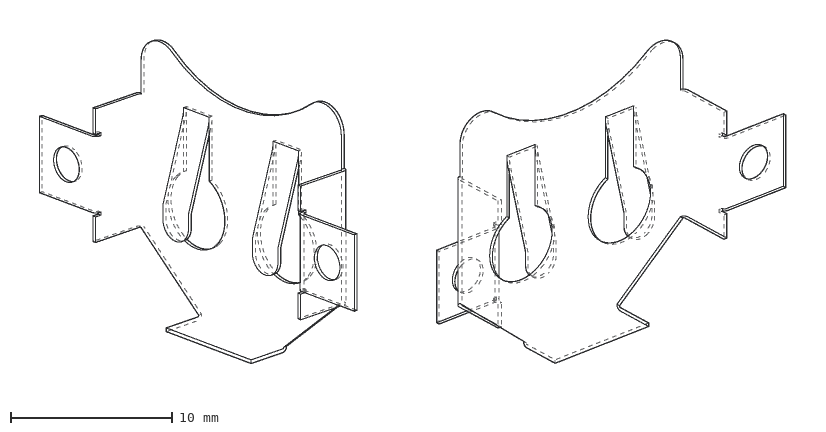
import cadquery as cq
import math

length = 28.2
depth = 4.05
height = 17.53

sheet = 0.25
inner_bend = 0.08
outer_bend = inner_bend + sheet

plate_front = depth - sheet
plate_half_width = 8.96
shoulder_radius = 1.7
scallop_radius = 10.15

wall_outer = plate_half_width + outer_bend
wall_inner = wall_outer - sheet
wall_height = 8.88
wall_center_z = 9.15
wall_bottom = wall_center_z - wall_height / 2

ear_height = 5.07
ear_hole_diameter = 2.28
ear_hole_x = 11.67
relief_width = 0.2
relief_depth = 0.45

foot_width = 7.6
foot_depth = 3.05

finger_x = 4.0
finger_width = 2.28
finger_top = 13.75
finger_tip = 5.67
finger_front = 2.03
finger_slope = 17.5
finger_bend_radius = 2.25

window_diameter = 5.07
window_z = 7.25


def polar(center, radius, degrees):
    """Point at the given radius and angle from a center."""
    angle = math.radians(degrees)
    return (center[0] + radius * math.cos(angle), center[1] + radius * math.sin(angle))


def block(x_range, y_range, z_range):
    """Box spanning the given (low, high) ranges."""
    sizes = [high - low for low, high in (x_range, y_range, z_range)]
    corner = (x_range[0], y_range[0], z_range[0])
    return cq.Workplane("XY").box(*sizes, centered=False).translate(corner)


def cylinder_along_y(x, z, diameter):
    """Cylinder running through the full depth of the part."""
    return cq.Workplane("XZ").center(x, z).circle(diameter / 2).extrude(-depth)


def make_plate():
    """Flat plate with two round shoulders joined by a tangent concave scallop."""
    shoulder_x = plate_half_width - shoulder_radius
    shoulder_z = height - shoulder_radius
    center_distance = scallop_radius + shoulder_radius
    scallop_z = shoulder_z + math.sqrt(center_distance**2 - shoulder_x**2)
    tangent_x = shoulder_x * scallop_radius / center_distance
    tangent_z = scallop_z - (scallop_z - shoulder_z) * scallop_radius / center_distance
    return (
        cq.Workplane("XZ", origin=(0, depth, 0))
        .moveTo(-foot_width / 2, outer_bend)
        .lineTo(foot_width / 2, outer_bend)
        .lineTo(plate_half_width, wall_bottom)
        .lineTo(plate_half_width, shoulder_z)
        .threePointArc((shoulder_x, height), (tangent_x, tangent_z))
        .threePointArc((0, scallop_z - scallop_radius), (-tangent_x, tangent_z))
        .threePointArc((-shoulder_x, height), (-plate_half_width, shoulder_z))
        .lineTo(-plate_half_width, wall_bottom)
        .close()
        .extrude(sheet)
    )


def make_foot():
    """Flat foot and the bend that joins it to the lower end of the plate."""
    bend = (depth - outer_bend, outer_bend)
    foot_front = depth - foot_depth
    return (
        cq.Workplane("YZ", origin=(-foot_width / 2, 0, 0))
        .moveTo(depth, outer_bend)
        .threePointArc(polar(bend, outer_bend, -45), (bend[0], 0))
        .lineTo(foot_front, 0)
        .lineTo(foot_front, sheet)
        .lineTo(bend[0], sheet)
        .threePointArc(polar(bend, inner_bend, -45), (plate_front, outer_bend))
        .close()
        .extrude(foot_width)
    )


def make_wall():
    """Side wall on the +X side, with its bend and the gap that frees the ear."""
    bend = (plate_half_width, depth - outer_bend)
    wall = (
        cq.Workplane("XY", origin=(0, 0, wall_bottom))
        .moveTo(plate_half_width, depth)
        .threePointArc(polar(bend, outer_bend, 45), (wall_outer, bend[1]))
        .lineTo(wall_outer, 0)
        .lineTo(wall_inner, 0)
        .lineTo(wall_inner, bend[1])
        .threePointArc(polar(bend, inner_bend, 45), (plate_half_width, plate_front))
        .close()
        .extrude(wall_height)
    )
    gap_half = ear_height / 2 + relief_width
    gap_z = (wall_center_z - gap_half, wall_center_z + gap_half)
    return wall.cut(block((wall_inner, wall_outer), (0, relief_depth), gap_z))


def make_ear():
    """Solder ear on the +X side, with the bend that joins it to the wall."""
    bend = (wall_outer + inner_bend, outer_bend)
    ear_end = length / 2
    ear = (
        cq.Workplane("XY", origin=(0, 0, wall_center_z - ear_height / 2))
        .moveTo(wall_inner, relief_depth)
        .lineTo(wall_inner, outer_bend)
        .threePointArc(polar(bend, outer_bend, 225), (bend[0], 0))
        .lineTo(ear_end, 0)
        .lineTo(ear_end, sheet)
        .lineTo(bend[0], sheet)
        .threePointArc(polar(bend, inner_bend, 225), (wall_outer, outer_bend))
        .lineTo(wall_outer, relief_depth)
        .close()
        .extrude(ear_height)
    )
    return ear.cut(cylinder_along_y(ear_hole_x, wall_center_z, ear_hole_diameter))


def make_window(center_x):
    """Keyhole window: a slot as wide as the finger, ending in a round opening."""
    slot_x = (center_x - finger_width / 2, center_x + finger_width / 2)
    slot = block(slot_x, (0, depth), (window_z, finger_top))
    return slot.union(cylinder_along_y(center_x, window_z, window_diameter))


def make_bracket():
    """Plate, foot, walls and ears as one folded sheet with two windows."""
    side = make_wall().union(make_ear())
    bracket = make_plate().union(make_foot()).union(side).union(side.mirror("YZ"))
    for center_x in (-finger_x, finger_x):
        bracket = bracket.cut(make_window(center_x))
    return bracket


def make_finger(center_x):
    """Spring finger: a gentle bend off the plate, a straight slope and a flat round tip."""
    top_bend = (plate_front - finger_bend_radius, finger_top)
    radius_sum = finger_bend_radius + outer_bend
    bend_forward = radius_sum * (1 - math.cos(math.radians(finger_slope)))
    slope_forward = plate_front - finger_front - bend_forward
    slope_drop = slope_forward / math.tan(math.radians(finger_slope))
    bend_drop = radius_sum * math.sin(math.radians(finger_slope))
    tip_bend = (finger_front + outer_bend, finger_top - slope_drop - bend_drop)

    top_back_radius = finger_bend_radius + sheet
    tip_facing = 180 - finger_slope
    strip = (
        cq.Workplane("YZ", origin=(center_x - finger_width / 2, 0, 0))
        .moveTo(plate_front, finger_top)
        .threePointArc(
            polar(top_bend, finger_bend_radius, -finger_slope / 2),
            polar(top_bend, finger_bend_radius, -finger_slope),
        )
        .lineTo(*polar(tip_bend, outer_bend, tip_facing))
        .threePointArc(polar(tip_bend, outer_bend, 180 - finger_slope / 2), (finger_front, tip_bend[1]))
        .lineTo(finger_front, finger_tip)
        .lineTo(finger_front + sheet, finger_tip)
        .lineTo(finger_front + sheet, tip_bend[1])
        .threePointArc(
            polar(tip_bend, inner_bend, 180 - finger_slope / 2),
            polar(tip_bend, inner_bend, tip_facing),
        )
        .lineTo(*polar(top_bend, top_back_radius, -finger_slope))
        .threePointArc(polar(top_bend, top_back_radius, -finger_slope / 2), (depth, finger_top))
        .close()
        .extrude(finger_width)
    )
    half_width = finger_width / 2
    tip_z = finger_tip + half_width
    outline = (
        cq.Workplane("XZ")
        .moveTo(center_x - half_width, finger_top)
        .lineTo(center_x - half_width, tip_z)
        .threePointArc((center_x, finger_tip), (center_x + half_width, tip_z))
        .lineTo(center_x + half_width, finger_top)
        .close()
        .extrude(-depth)
    )
    return strip.intersect(outline)


bracket = make_bracket()
fingers = [make_finger(center_x).solids().val() for center_x in (-finger_x, finger_x)]

result = cq.Compound.makeCompound([bracket.solids().val(), *fingers])